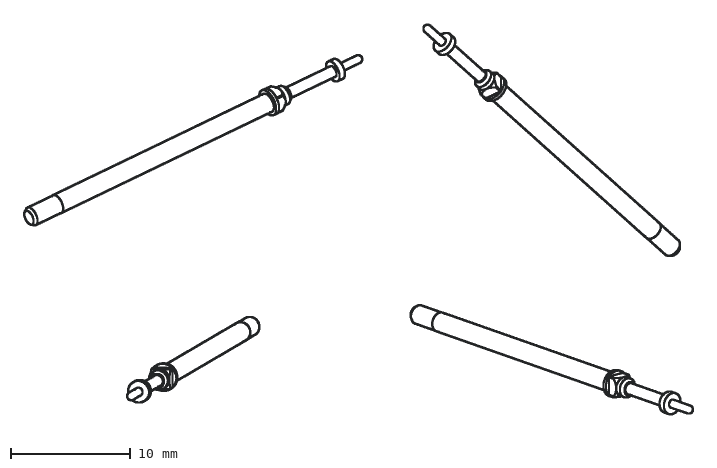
import cadquery as cq

total_length = 35.5
collar_front = 2.5
collar_thickness = 0.57
shoulder_front = 7.95
shoulder_cone_length = 0.32
square_front = 8.75
flange_front = 9.7
flange_thickness = 0.32
tail_length = 3.0
tail_chamfer_length = 0.3

pin_diameter = 0.7
collar_diameter = 1.85
shaft_diameter = 1.0
shoulder_diameter = 1.2
body_diameter = 1.67
tail_diameter = 1.65
tail_end_diameter = 1.28
flange_diameter = 2.3

square_side = body_diameter
square_corner_diameter = 2.27
corner_bevel_length = 0.32

tip_y = total_length / 2
tail_end_y = -total_length / 2


def station(distance):
    """Y position at a distance back from the tip."""
    return tip_y - distance


def segment(start_y, end_y, diameter, end_diameter=None):
    """Cylinder, or cone when end_diameter is given, along the Y axis."""
    start_radius = diameter / 2
    end_radius = (end_diameter or diameter) / 2
    outline = [(0, start_y), (start_radius, start_y), (end_radius, end_y), (0, end_y)]
    return cq.Workplane("XY").polyline(outline).close().revolve(360, (0, 0), (0, 1))


def make_pin():
    """Thin contact pin with a hemispherical tip."""
    pin_radius = pin_diameter / 2
    dome_y = tip_y - pin_radius
    dome = cq.Workplane("XY").sphere(pin_radius).translate((0, dome_y, 0))
    return segment(dome_y, station(collar_front), pin_diameter).union(dome)


def make_plunger():
    """Pin, collar and shaft ahead of the barrel."""
    collar_back = collar_front + collar_thickness
    collar = segment(station(collar_front), station(collar_back), collar_diameter)
    shaft = segment(station(collar_back), station(shoulder_front), shaft_diameter)
    return make_pin().union(collar).union(shaft)


def make_square_section():
    """Square prism whose corners are trimmed round and bevelled at the front."""
    front_y = station(square_front)
    back_y = station(flange_front)
    bevel_end_y = front_y - corner_bevel_length
    prism = cq.Workplane("XY").box(square_side, front_y - back_y, square_side)
    prism = prism.translate((0, (front_y + back_y) / 2, 0))
    bevel = segment(front_y, bevel_end_y, body_diameter, square_corner_diameter)
    trim = bevel.union(segment(bevel_end_y, back_y, square_corner_diameter))
    return prism.intersect(trim)


def make_barrel():
    """Coned shoulder, square section, flange, long body and chamfered tail."""
    cone_end = shoulder_front + shoulder_cone_length
    flange_back = flange_front + flange_thickness
    tail_front_y = tail_end_y + tail_length
    chamfer_y = tail_end_y + tail_chamfer_length
    cone = segment(station(shoulder_front), station(cone_end), shoulder_diameter, body_diameter)
    neck = segment(station(cone_end), station(square_front), body_diameter)
    flange = segment(station(flange_front), station(flange_back), flange_diameter)
    body = segment(station(flange_back), tail_front_y, body_diameter)
    tail = segment(tail_front_y, chamfer_y, tail_diameter)
    chamfer = segment(chamfer_y, tail_end_y, tail_diameter, tail_end_diameter)
    barrel = cone
    for piece in (neck, make_square_section(), flange, body, tail, chamfer):
        barrel = barrel.union(piece)
    return barrel


result = make_plunger().union(make_barrel())